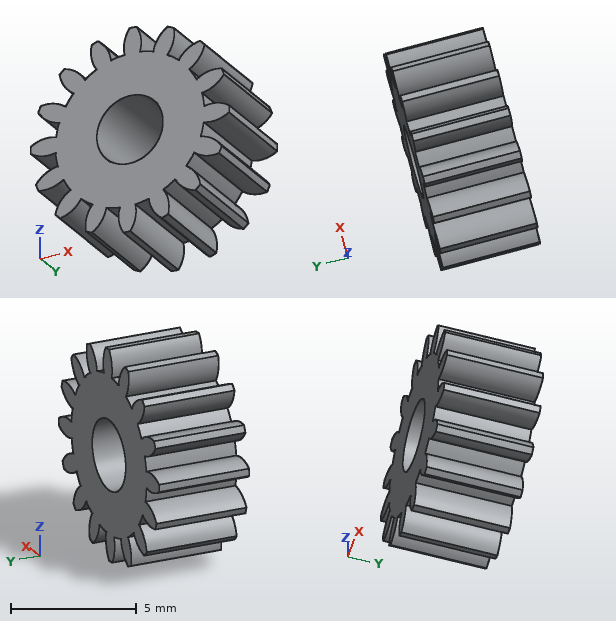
import cadquery as cq
import math

tooth_count = 16
tip_diameter = 9.0
root_diameter = 6.75
bore_diameter = 3.0
face_width = 4.0
first_tooth_tilt = 1.8

half_root = 0.35
half_waist = 0.4
half_tip = 0.15
waist_radius = 3.735

tip_radius = tip_diameter / 2
root_radius = root_diameter / 2


def distance_along_tooth(radius, half_thickness):
    """Position along the tooth's centre line of a point on a circle of the given radius."""
    return math.sqrt(radius**2 - half_thickness**2)


def make_cylinder(diameter):
    """Cylinder along Y, spanning the face width."""
    return cq.Workplane("XZ").circle(diameter / 2).extrude(face_width / 2, both=True)


def make_tooth():
    """Tooth pointing along +X, with its foot buried in the root cylinder."""
    buried_foot = root_radius / 2
    root_x = distance_along_tooth(root_radius, half_root)
    tip_x = distance_along_tooth(tip_radius, half_tip)
    return (
        cq.Workplane("XZ")
        .moveTo(buried_foot, -half_root)
        .lineTo(root_x, -half_root)
        .threePointArc((waist_radius, -half_waist), (tip_x, -half_tip))
        .threePointArc((tip_radius, 0), (tip_x, half_tip))
        .threePointArc((waist_radius, half_waist), (root_x, half_root))
        .lineTo(buried_foot, half_root)
        .close()
        .extrude(face_width / 2, both=True)
    )


gear = make_cylinder(root_diameter)
tooth = make_tooth()
tooth_pitch = 360 / tooth_count
for index in range(tooth_count):
    turn = first_tooth_tilt + index * tooth_pitch
    gear = gear.union(tooth.rotate((0, 0, 0), (0, 1, 0), turn))

result = gear.cut(make_cylinder(bore_diameter))